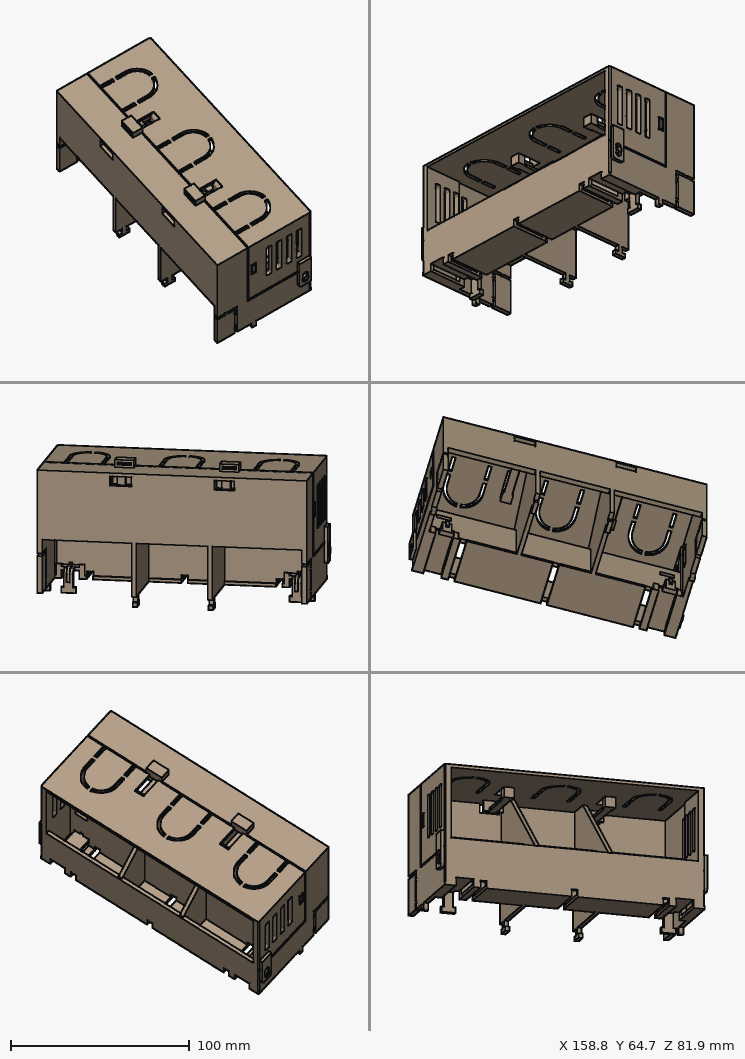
import cadquery as cq


WIDTH = 153.3
DEPTH = 64.7
HEIGHT = 70.6
HALF = WIDTH / 2
WALL = 2.9
ROOF = 1.9
REAR_THICKENING = 1.0
FRONT_WALL_BOTTOM = 30.8
BACK_CHAMFER_X = 0.5
BACK_CHAMFER_Y = 1.3
BACK_CHAMFER_BOTTOM = 1.7
CUT_MARGIN = 1.6

DIVIDER_THICKNESS = 2.5
DIVIDER_X = 21.6
SLOPE_FOOT_Z = 27.6
SLOPE_TOP_Y = 17.6
DIVIDER_FOOT_Y = 6.2
DIVIDER_STEM = 3.0
DIVIDER_BAR = 7.3
DIVIDER_FOOT_BOTTOM = -6.3
FOOT_STEP_Z = -3.8

LEDGE_Y = 39.0
PARTITION_Y = 40.3
PARTITION_THICKNESS = 2.4
PARTITION_TOP = 34.9
FLOOR_THICKNESS = 1.9
BACK_WALL_THICKNESS = 2.4
BAY_PITCH = 53.8
NOTCH_WIDTH = 3.7
NOTCH_HEIGHT = 4.3

HOOK_X = 64.9
HOOK_OPENING = 10.3
HOOK_OPENING_HEIGHT = 4.8
HOOK_ARM_TOP = 6.8
HOOK_ROOT_TOP = 8.0
HOOK_FRONT_Y = 33.3
HOOK_THICKNESS = 2.7
HOOK_STEM_WIDTH = 5.2
HOOK_BEND_RADIUS = 2.7
HOOK_BAR_WIDTH = 8.3
HOOK_BOTTOM = -7.0
RIB_WIDTH = 1.7
RIB_HEIGHT = 1.1
RIB_BOTTOM = -0.6
INNER_POST_WIDTH = 3.0
POST_TOP = 8.3
WINDOW_HEIGHT = 3.7
WINDOW_Z = 26.7
WINDOW_RADIUS = 0.6

SEAM_Y = 21.6
ARCH_RADIUS = 10.5
ARCH_CUT = 1.9
ARCH_BRIDGE = 2.4
LEG_BRIDGE_START = 30.2

SEAM_WIDTH = 0.5
SEAM_DEPTH = 0.5
SEAM_Z = 22.9
SEAM_CORNER = 1.6

VENT_COUNT = 4
VENT_PITCH = 7.0
VENT_FIRST_Y = 35.7
VENT_WIDTH = 3.7
VENT_BOTTOM = 35.7
VENT_TOP = 60.6
VENT_RADIUS = 0.8
SNAP_Y = 25.2
SNAP_Z = 48.5
SNAP_WIDTH = 3.5
SNAP_HEIGHT = 8.0
SNAP_GAP = 0.6
SNAP_DEPTH = 0.8
CORNER_OUT_Y = 13.6
CORNER_OUT_Z = 22.9
CORNER_CUT = 1.6
CORNER_BRIDGE = 1.5
CORNER_BRIDGE_Y = 5.5
CORNER_BRIDGE_LOW_Z = 3.7
CORNER_BRIDGE_HIGH_Z = 16.7

PLATE_Y = 59.5
PLATE_WIDTH = 8.3
PLATE_BOTTOM = 10.8
PLATE_TOP = 31.9
PLATE_THICKNESS = 1.9
PLATE_RADIUS = 1.6
PLATE_SLOT_WIDTH = 3.8
PLATE_SLOT_LENGTH = 8.0
PIN_Z = 17.5
PIN_DIAMETER = 3.3
PIN_END_X = 79.4

LUG_Y = 25.4
LUG_WIDTH = 3.2
LUG_LENGTH = 4.0
LUG_RADIUS = 0.6

LATCH_X = 29.8
TAB_WIDTH = 10.8
TAB_DEPTH = 6.7
TAB_HEIGHT = 4.3
TAB_POCKET_WIDTH = 8.0
TAB_POCKET_HEIGHT = 1.5
TAB_POCKET_DEPTH = 3.2
LATCH_SLOT_WIDTH = 6.0
LATCH_SLOT_END_Y = 35.2
TONGUE_WIDTH = 4.8
TONGUE_START_Y = 5.5
TONGUE_END_Y = 32.0
TONGUE_BOTTOM = 62.7
TONGUE_TOP = 64.3
CATCH_FRONT_Y = 33.0
CATCH_RADIUS = 2.7
CATCH_DROP = 0.5
CATCH_STEP_TOP = 63.5
FRONT_OPENING_BOTTOM = 63.3
FRONT_OPENING_TOP = HEIGHT - ROOF
OPENING_BACK_Y = 8.0
OPENING_BACK_THICKNESS = 1.6
FRONT_OPENINGS = ((-35.2, -23.0), (24.0, 35.5))


def box(x0, x1, y0, y1, z0, z1):
    """Box between two opposite corners."""
    return cq.Workplane("XY").box(x1 - x0, y1 - y0, z1 - z0, centered=False).translate((x0, y0, z0))


def bar(x, width, y0, y1, z0, z1):
    """Box centred at x."""
    return box(x - width / 2, x + width / 2, y0, y1, z0, z1)


def both_ends(shape):
    """The shape together with its mirror image about X = 0."""
    return shape.union(shape.mirror("YZ"))


def yz_prism(points, x, width):
    """Prism of a YZ outline, centred at x."""
    return cq.Workplane("YZ").polyline(points).close().extrude(width / 2, both=True).translate((x, 0, 0))


def make_shell():
    roof = box(-HALF, HALF, 0, DEPTH, HEIGHT - ROOF, HEIGHT)
    front = box(-HALF, HALF, 0, WALL, FRONT_WALL_BOTTOM, HEIGHT)
    side_outline = [
        (HALF, 0),
        (HALF - WALL, 0),
        (HALF - WALL, PARTITION_Y - REAR_THICKENING),
        (HALF - WALL - REAR_THICKENING, PARTITION_Y),
        (HALF - WALL - REAR_THICKENING, DEPTH),
        (HALF, DEPTH),
    ]
    side = cq.Workplane("XY").polyline(side_outline).close().extrude(HEIGHT)
    back_edge = [
        (HALF, DEPTH),
        (HALF - BACK_CHAMFER_X, DEPTH),
        (HALF, DEPTH - BACK_CHAMFER_Y),
    ]
    edge_cut = cq.Workplane("XY").workplane(offset=BACK_CHAMFER_BOTTOM).polyline(back_edge).close()
    edge_cut = edge_cut.extrude(HEIGHT)
    return roof.union(front).union(both_ends(side)).cut(both_ends(edge_cut))


def make_divider():
    web = [
        (0, 0),
        (DEPTH, 0),
        (DEPTH, SLOPE_FOOT_Z),
        (DEPTH - BACK_WALL_THICKNESS / 2, SLOPE_FOOT_Z),
        (SLOPE_TOP_Y, HEIGHT - ROOF),
        (SLOPE_TOP_Y, HEIGHT - ROOF / 2),
        (0, HEIGHT - ROOF / 2),
    ]
    divider = yz_prism(web, DIVIDER_X, DIVIDER_THICKNESS)
    for width, bottom, top in (
        (DIVIDER_STEM, FOOT_STEP_Z, 0),
        (DIVIDER_BAR, DIVIDER_FOOT_BOTTOM, FOOT_STEP_Z),
    ):
        y0 = DIVIDER_FOOT_Y - width / 2
        divider = divider.union(bar(DIVIDER_X, DIVIDER_THICKNESS, y0, y0 + width, bottom, top))
    return divider


def make_partition():
    reach = HALF - WALL
    wall = box(-reach, reach, PARTITION_Y, PARTITION_Y + PARTITION_THICKNESS, 0, PARTITION_TOP)
    floor = box(-reach, reach, LEDGE_Y, DEPTH, 0, FLOOR_THICKNESS)
    back = box(-reach, reach, DEPTH - BACK_WALL_THICKNESS, DEPTH, 0, SLOPE_FOOT_Z)
    partition = wall.union(floor).union(back)
    for bay in (-1, 0, 1):
        notch = bar(bay * BAY_PITCH, NOTCH_WIDTH, LEDGE_Y, DEPTH, 0, NOTCH_HEIGHT)
        partition = partition.cut(notch)
    partition_end = PARTITION_Y + PARTITION_THICKNESS
    window_bottom = WINDOW_Z - WINDOW_HEIGHT / 2
    window_top = WINDOW_Z + WINDOW_HEIGHT / 2
    window = bar(HOOK_X, HOOK_BAR_WIDTH, PARTITION_Y, partition_end, window_bottom, window_top)
    window = window.edges("|Y").fillet(WINDOW_RADIUS)
    opening = bar(HOOK_X, HOOK_OPENING, LEDGE_Y, DEPTH, 0, HOOK_OPENING_HEIGHT)
    root = bar(HOOK_X, HOOK_OPENING, PARTITION_Y, partition_end, 0, HOOK_ROOT_TOP)
    rib_root = bar(HOOK_X, RIB_WIDTH, PARTITION_Y, partition_end, 0, HOOK_ROOT_TOP + RIB_HEIGHT)
    return partition.cut(both_ends(window.union(opening).union(root).union(rib_root)))


def bent_arm(width, front_y, top_z, bottom_z, radius):
    """Arm running forward from the partition and bending down, with a round outer elbow."""
    inner_y = HOOK_FRONT_Y + HOOK_THICKNESS
    return (
        cq.Workplane("YZ")
        .moveTo(PARTITION_Y, top_z)
        .lineTo(front_y + radius, top_z)
        .radiusArc((front_y, top_z - radius), -radius)
        .lineTo(front_y, bottom_z)
        .lineTo(inner_y, bottom_z)
        .lineTo(inner_y, HOOK_OPENING_HEIGHT)
        .lineTo(PARTITION_Y, HOOK_OPENING_HEIGHT)
        .close()
        .extrude(width / 2, both=True)
        .translate((HOOK_X, 0, 0))
    )


def make_hook():
    arm = bent_arm(HOOK_STEM_WIDTH, HOOK_FRONT_Y, HOOK_ARM_TOP, HOOK_BOTTOM, HOOK_BEND_RADIUS)
    rib_front = HOOK_FRONT_Y - RIB_HEIGHT
    rib_top = HOOK_ARM_TOP + RIB_HEIGHT
    rib = bent_arm(RIB_WIDTH, rib_front, rib_top, RIB_BOTTOM, HOOK_BEND_RADIUS + RIB_HEIGHT)
    foot = bar(
        HOOK_X, HOOK_BAR_WIDTH, HOOK_FRONT_Y, HOOK_FRONT_Y + HOOK_THICKNESS, HOOK_BOTTOM, FOOT_STEP_Z
    )
    bridge = bar(HOOK_X, HOOK_OPENING, LEDGE_Y, DEPTH, HOOK_OPENING_HEIGHT, HOOK_ARM_TOP)
    inner_edge = HOOK_X - HOOK_OPENING / 2
    outer_edge = HOOK_X + HOOK_OPENING / 2
    inner_post = box(inner_edge - INNER_POST_WIDTH, inner_edge, LEDGE_Y, PARTITION_Y, 0, POST_TOP)
    outer_post = box(outer_edge, HALF - WALL - REAR_THICKENING, LEDGE_Y, PARTITION_Y, 0, POST_TOP)
    return arm.union(rib).union(foot).union(bridge).union(inner_post).union(outer_post)


def arch_cut(x):
    """Broken arch-shaped slot through the roof."""
    bottom = HEIGHT - ROOF
    outer = ARCH_RADIUS + ARCH_CUT / 2
    ring = cq.Workplane("XY").circle(outer).circle(outer - ARCH_CUT).extrude(ROOF)
    ring = ring.translate((x, LEDGE_Y, bottom))
    ring = ring.intersect(bar(x, 2 * outer, LEDGE_Y, LEDGE_Y + outer, bottom, HEIGHT))
    ring = ring.cut(bar(x, ARCH_BRIDGE, LEDGE_Y, LEDGE_Y + outer, bottom, HEIGHT))
    for side in (-1, 1):
        leg_x = x + side * ARCH_RADIUS
        for start, end in ((SEAM_Y, LEG_BRIDGE_START), (LEG_BRIDGE_START + ARCH_BRIDGE, LEDGE_Y)):
            ring = ring.union(bar(leg_x, ARCH_CUT, start, end, bottom, HEIGHT))
    return ring


def seam_groove():
    """Shallow groove outlining the rear cover on the roof and the side walls."""
    roof_cut = box(-HALF, HALF, SEAM_Y - SEAM_WIDTH, SEAM_Y, HEIGHT - SEAM_DEPTH, HEIGHT)
    band = box(HALF - SEAM_DEPTH, HALF, SEAM_Y - SEAM_WIDTH, DEPTH, SEAM_Z - SEAM_WIDTH, HEIGHT)
    cover = box(HALF - SEAM_DEPTH, HALF, SEAM_Y, DEPTH, SEAM_Z, HEIGHT)
    cover = cover.edges("|X and <Y and <Z").fillet(SEAM_CORNER)
    return roof_cut.union(both_ends(band.cut(cover)))


def side_cuts():
    """Vents, snap window and broken corner outline of one side wall."""
    inside = HALF - WALL - REAR_THICKENING - CUT_MARGIN
    outside = HALF + CUT_MARGIN
    snap = cq.Workplane("YZ").rect(SNAP_WIDTH, SNAP_HEIGHT)
    snap = snap.rect(SNAP_WIDTH - 2 * SNAP_GAP, SNAP_HEIGHT - 2 * SNAP_GAP).extrude(SNAP_DEPTH)
    cuts = snap.translate((HALF - SNAP_DEPTH, SNAP_Y, SNAP_Z))
    for index in range(VENT_COUNT):
        y = VENT_FIRST_Y + index * VENT_PITCH
        vent = box(inside, outside, y - VENT_WIDTH / 2, y + VENT_WIDTH / 2, VENT_BOTTOM, VENT_TOP)
        cuts = cuts.union(vent.edges("|X").fillet(VENT_RADIUS))
    corner = box(inside, outside, 0, CORNER_OUT_Y, 0, CORNER_OUT_Z)
    corner = corner.cut(box(inside, outside, 0, CORNER_OUT_Y - CORNER_CUT, 0, CORNER_OUT_Z - CORNER_CUT))
    corner = corner.cut(
        box(inside, outside, CORNER_BRIDGE_Y, CORNER_BRIDGE_Y + CORNER_BRIDGE, 0, CORNER_OUT_Z)
    )
    for z in (CORNER_BRIDGE_LOW_Z, CORNER_BRIDGE_HIGH_Z):
        corner = corner.cut(box(inside, outside, 0, CORNER_OUT_Y, z, z + CORNER_BRIDGE))
    return cuts.union(corner)


def make_lock_plate():
    y0 = PLATE_Y - PLATE_WIDTH / 2
    plate = box(HALF, HALF + PLATE_THICKNESS, y0, y0 + PLATE_WIDTH, PLATE_BOTTOM, PLATE_TOP)
    plate = plate.edges("|X and <Z").fillet(PLATE_RADIUS)
    slot = cq.Workplane("YZ").slot2D(PLATE_SLOT_LENGTH, PLATE_SLOT_WIDTH, 90).extrude(PLATE_THICKNESS)
    pin_start = HALF - WALL / 2
    pin = cq.Workplane("YZ").circle(PIN_DIAMETER / 2).extrude(PIN_END_X - pin_start)
    plate = plate.cut(slot.translate((HALF, PLATE_Y, PIN_Z)))
    return plate.union(pin.translate((pin_start, PLATE_Y, PIN_Z)))


def make_lug():
    y0 = LUG_Y - LUG_WIDTH / 2
    lug = box(HALF - WALL, HALF, y0, y0 + LUG_WIDTH, -LUG_LENGTH, WALL)
    return lug.edges("|X and <Z").fillet(LUG_RADIUS)


def make_latch():
    """Tab on the roof, with the blade, tongue and round-nosed catch below the roof slot."""
    tab_front = SEAM_Y - TAB_DEPTH
    tab = bar(LATCH_X, TAB_WIDTH, tab_front, SEAM_Y, HEIGHT - SEAM_DEPTH, HEIGHT + TAB_HEIGHT)
    pocket_z = HEIGHT + TAB_HEIGHT / 2
    pocket = bar(
        LATCH_X, TAB_POCKET_WIDTH, tab_front, tab_front + TAB_POCKET_DEPTH,
        pocket_z - TAB_POCKET_HEIGHT / 2, pocket_z + TAB_POCKET_HEIGHT / 2,
    )
    tongue = bar(LATCH_X, TONGUE_WIDTH, TONGUE_START_Y, TONGUE_END_Y, TONGUE_BOTTOM, TONGUE_TOP)
    blade = bar(LATCH_X, TONGUE_WIDTH, TONGUE_START_Y, OPENING_BACK_Y, TONGUE_BOTTOM, HEIGHT - ROOF / 2)
    catch_end = LATCH_SLOT_END_Y + CATCH_RADIUS
    catch = bar(LATCH_X, LATCH_SLOT_WIDTH, CATCH_FRONT_Y, catch_end, TONGUE_BOTTOM, HEIGHT - CATCH_DROP)
    catch = catch.edges("|X and <Y and >Z").fillet(CATCH_RADIUS)
    step = bar(LATCH_X, LATCH_SLOT_WIDTH, TONGUE_END_Y, CATCH_FRONT_Y, TONGUE_BOTTOM, CATCH_STEP_TOP)
    return tab.cut(pocket).union(blade).union(tongue).union(step).union(catch)


shell = make_shell()
for bay in (-1, 0, 1):
    shell = shell.cut(arch_cut(bay * BAY_PITCH))
shell = shell.cut(seam_groove()).cut(both_ends(side_cuts()))
latch_slot = bar(LATCH_X, LATCH_SLOT_WIDTH, SEAM_Y, LATCH_SLOT_END_Y, HEIGHT - ROOF, HEIGHT)
shell = shell.cut(both_ends(latch_slot))
for left, right in FRONT_OPENINGS:
    shell = shell.cut(box(left, right, 0, WALL, FRONT_OPENING_BOTTOM, FRONT_OPENING_TOP))
    back_end = OPENING_BACK_Y + OPENING_BACK_THICKNESS
    shell = shell.union(box(left, right, OPENING_BACK_Y, back_end, TONGUE_BOTTOM, HEIGHT - ROOF / 2))

result = shell.union(make_partition())
for feature in (make_divider(), make_hook(), make_lock_plate(), make_lug(), make_latch()):
    result = result.union(both_ends(feature))